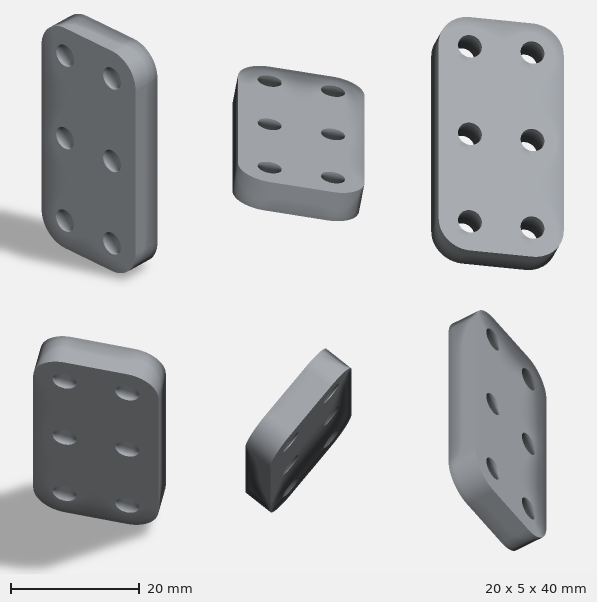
import cadquery as cq

height = 40.0
width = height / 2
thickness = height / 8
corner_radius = width / 4

hole_diameter = 3.8
hole_columns = 2
hole_rows = 3
column_pitch = (width - 2 * corner_radius) / (hole_columns - 1)
row_pitch = (height - 2 * corner_radius) / (hole_rows - 1)

plate = cq.Workplane("XY").box(width, thickness, height).edges("|Y").fillet(corner_radius)

result = (
    plate.faces("<Y")
    .workplane(centerOption="CenterOfBoundBox")
    .rarray(column_pitch, row_pitch, hole_columns, hole_rows)
    .hole(hole_diameter)
)